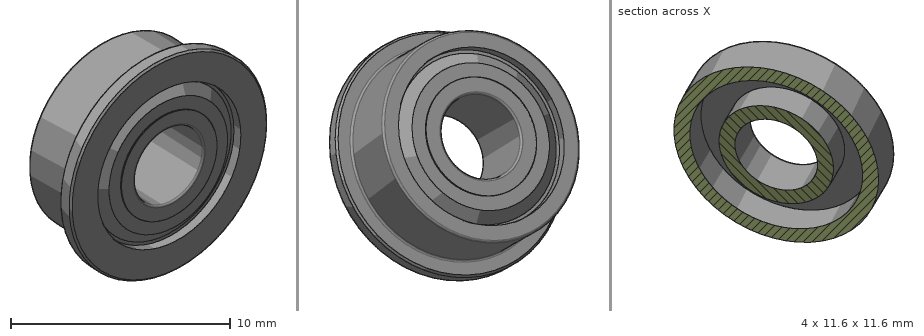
import cadquery as cq


width = 4.0
flange_radius = 11.6 / 2
flange_width = 0.8
body_radius = 10.0 / 2
bore_radius = 4.0 / 2
edge_size = 0.1

inner_ring_radius = 5.6 / 2
outer_ring_bore_radius = 8.4 / 2

shield_cone_base_radius = 4.04
shield_cone_top_radius = 3.48
shield_top_depth = 0.07
shield_rim_depth = 0.5
shield_rim_thickness = 0.1


def revolve_about_axis(profile):
    """Turn a closed (x, radius) profile around the X axis."""
    return profile.close().revolve(360, (0, 0, 0), (1, 0, 0))


def make_tube(inner_radius, outer_radius, start, end):
    """Plain tube along X."""
    profile = (
        cq.Workplane("XY")
        .moveTo(start, inner_radius)
        .lineTo(end, inner_radius)
        .lineTo(end, outer_radius)
        .lineTo(start, outer_radius)
    )
    return revolve_about_axis(profile)


def circle_edges(start, end, radius):
    """Selector for the circular edges of one radius between two x positions."""
    margin = 0.01
    reach = radius + margin
    return cq.selectors.BoxSelector(
        (start - margin, -reach, -reach), (end + margin, reach, reach), boundingbox=True
    )


def make_outer_ring():
    """Outer ring with a chamfered flange, a rounded front edge and a rounded flange root."""
    flange_start = width - flange_width
    body = make_tube(outer_ring_bore_radius, body_radius, 0, width)
    flange = make_tube(outer_ring_bore_radius, flange_radius, flange_start, width)
    flange = flange.edges(cq.selectors.RadiusNthSelector(-1)).chamfer(edge_size)
    ring = body.union(flange)
    front_edges = circle_edges(0, 0, body_radius)
    root_edges = circle_edges(flange_start, flange_start, body_radius)
    ring = ring.edges(front_edges).edges(cq.selectors.RadiusNthSelector(-1)).fillet(edge_size)
    return ring.edges(root_edges).edges(cq.selectors.RadiusNthSelector(-1)).fillet(edge_size)


def make_inner_ring():
    """Inner ring with both bore edges rounded."""
    ring = make_tube(bore_radius, inner_ring_radius, 0, width)
    return ring.edges(cq.selectors.RadiusNthSelector(0)).fillet(edge_size)


def make_front_shield():
    """Shield with a flat rim and a raised middle joined by a cone, flat at the back."""
    back = shield_rim_depth + shield_rim_thickness
    profile = (
        cq.Workplane("XY")
        .moveTo(back, inner_ring_radius)
        .lineTo(shield_top_depth, inner_ring_radius)
        .lineTo(shield_top_depth, shield_cone_top_radius)
        .lineTo(shield_rim_depth, shield_cone_base_radius)
        .lineTo(shield_rim_depth, outer_ring_bore_radius)
        .lineTo(back, outer_ring_bore_radius)
    )
    return revolve_about_axis(profile)


outer_ring = make_outer_ring()
inner_ring = make_inner_ring()
front_shield = make_front_shield()

rear_shield = front_shield.mirror("YZ", (width / 2, 0, 0))

result = cq.Compound.makeCompound(
    [outer_ring.val(), inner_ring.val(), front_shield.val(), rear_shield.val()]
)